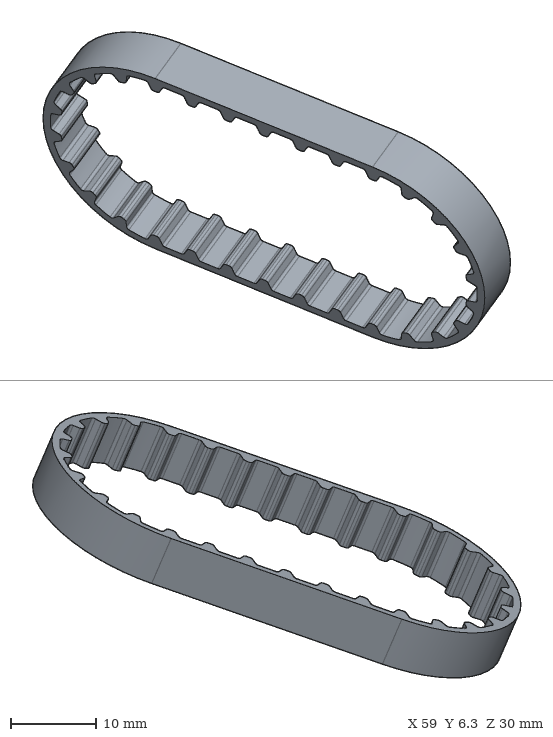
import math

import cadquery as cq

LENGTH = 59.05
WIDTH = 6.3
HEIGHT = 30.0

BACKING = 1.0

TOOTH_HEIGHT = 1.3
TOOTH_ROOT_WIDTH = 2.1
FLANK_ANGLE = 25.0
CORNER_RADIUS = 0.4

STRAIGHT_PITCHES = 6
BEND_PITCHES = 9

outer_radius = HEIGHT / 2
inner_radius = outer_radius - BACKING
bend_x = LENGTH / 2 - outer_radius
tooth_tip_width = TOOTH_ROOT_WIDTH - 2 * TOOTH_HEIGHT * math.tan(math.radians(FLANK_ANGLE))


def racetrack(radius):
    """Solid racetrack whose round ends are centred on the two bends."""
    return (
        cq.Workplane("XZ")
        .slot2D(2 * (bend_x + radius), 2 * radius)
        .extrude(WIDTH / 2, both=True)
    )


def upper_tooth(x):
    """Tooth hanging from the upper run at x, with its base sunk into the backing."""
    root_z = inner_radius
    tip_z = root_z - TOOTH_HEIGHT
    base_z = root_z + BACKING / 2
    half_root = TOOTH_ROOT_WIDTH / 2
    half_tip = tooth_tip_width / 2
    return (
        cq.Workplane("XZ")
        .polyline(
            [
                (x - half_root, base_z),
                (x - half_root, root_z),
                (x - half_tip, tip_z),
                (x + half_tip, tip_z),
                (x + half_root, root_z),
                (x + half_root, base_z),
            ]
        )
        .close()
        .extrude(WIDTH / 2, both=True)
    )


def half_loop_teeth():
    """Teeth of the upper run and the left bend; a half turn about Y gives the rest."""
    pitch = 2 * bend_x / STRAIGHT_PITCHES
    teeth = [upper_tooth(bend_x - i * pitch) for i in range(STRAIGHT_PITCHES)]
    end_tooth = upper_tooth(-bend_x)
    for i in range(BEND_PITCHES):
        angle = -180 * i / BEND_PITCHES
        teeth.append(end_tooth.rotate((-bend_x, 0, 0), (-bend_x, 1, 0), angle))
    return teeth


opening = racetrack(inner_radius)
for tooth in half_loop_teeth():
    opposite_tooth = tooth.rotate((0, 0, 0), (0, 1, 0), 180)
    opening = opening.cut(tooth).cut(opposite_tooth)
opening = opening.edges("|Y").fillet(CORNER_RADIUS)

result = racetrack(outer_radius).cut(opening)